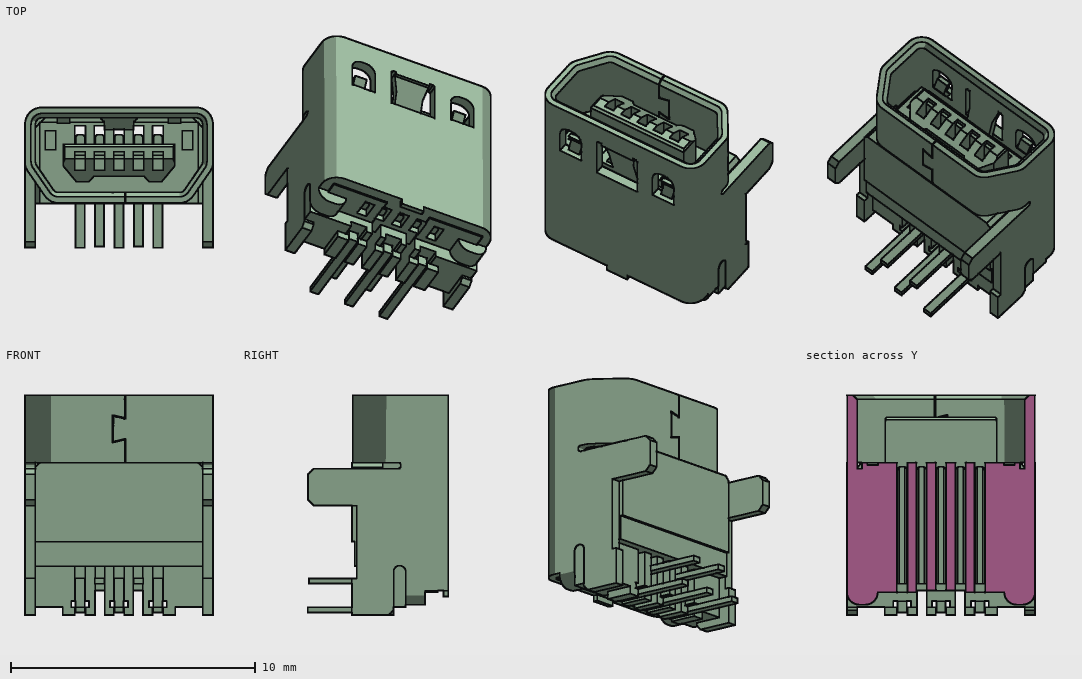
import cadquery as cq


width = 7.7
height = 9.0
back_y = 3.94
wall = 0.43
half_w = width / 2
inner_half_w = half_w - wall
inner_back_y = back_y - wall
mouth_front_y = 0.025
mouth_side_y = 1.5
mouth_front_half_w = 2.835
shell_radius = 0.7
lead_in = 0.18
mouth_bottom_z = 6.24
shell_bottom_z = 1.0

relief_height = 0.25
relief_end_y = 2.0
arm_tip_y = -1.8
arm_bottom_z = 4.48
arm_top_z = mouth_bottom_z - relief_height
arm_chamfer = 0.23
plate_front_y = 0.19
skirt_top_z = 1.5
skirt_back_y = 1.7
skirt_chamfer = 0.2
skirt_slot_width = 0.5
skirt_slot_top_z = 2.02
slot_back_y = skirt_back_y + skirt_slot_width

seam_x = 0.25
seam_gap = 0.035
dovetail_mid_z = 7.62
dovetail_neck = 0.85
dovetail_head = 1.09

latch_top_z = 7.96
latch_bottom_z = mouth_bottom_z
latch_top_half_w = 0.77
latch_half_w = 0.6
latch_shoulder_z = 7.3
latch_tip_y = 3.03
latch_thickness = 0.3
latch_window_half_w = 1.0
latch_ear_height = 0.12
latch_ear_chamfer = 0.08
spring_x = 2.27
spring_width = 0.53
spring_thickness = 0.2
spring_window_width = 1.05
spring_window_top_z = 7.94
spring_window_radius = 0.45
spring_window_bottom_z = 6.5
spring_top_z = 7.3
spring_lip = 0.4
spring_bulge_y = 3.28
back_tab_half_w = 0.5
back_tab_bottom_z = 0.75
back_tab_thickness = 0.2

clamp_front_y = slot_back_y
clamp_back_y = 2.99
clamp_bottom_z = 0.42
clamp_inner_x = 2.585
clamp_recess = 0.1

floor_z = mouth_bottom_z
rim = 0.18
rim_depth = 0.19
rim_z = arm_top_z
rim_corner = 0.4
ledge_back_y = 1.26
ledge_drop = 0.19
band_top_z = 3.0
band_bottom_z = 2.0
band_y = 0.11
base_front_y = 0.5
pad_bottom_z = 0.93
base_bottom_z = 0.32
lug_inset = 0.02
leg_back_y = skirt_back_y
leg_inner_x = 0.98
leg_outer_x = 2.31
center_leg_half_w = 0.59
window_width = 0.72
window_height = 0.25

tongue_half_w = 2.28
tongue_back_y = 2.43
tongue_side_y = 1.54
tongue_front_y = 0.9
tongue_notch_y = 1.11
tongue_foot_outer_x = 1.75
tongue_foot_inner_x = 1.23
tongue_notch_x = 1.03
tongue_top_z = 8.1
tongue_top_front_y = 1.83
tongue_slope_bottom_z = 7.65
tongue_back_chamfer = 0.1
tongue_side_chamfer = 0.07
pocket_back_y = 2.12
pocket_step_y = 1.97
pocket_front_y = 1.36
pocket_floor_z = 7.0
pocket_step_z = 7.9
pocket_front_drop = 0.1

contact_indices = range(-2, 3)
pitch = 0.795
pin_width = 0.38
pin_height = 0.22
channel_width = 0.42
channel_back_y = 3.18
contact_back_y = 2.82
contact_corner = 0.08
contact_tip_radius = 0.12
lower_pin_z = 0.1
lower_pin_tip_y = -1.81
riser_thickness = 0.39
upper_pin_z = 1.285
upper_pin_tip_y = -1.76


def block(x0, x1, y0, y1, z0, z1):
    """Box given by its limits along X, Y and Z."""
    return cq.Workplane("XY").box(x1 - x0, y1 - y0, z1 - z0, centered=False).translate((x0, y0, z0))


def mid_block(half_x, y0, y1, z0, z1):
    """Box symmetric about X = 0."""
    return block(-half_x, half_x, y0, y1, z0, z1)


def side_extrusion(points, x0, x1):
    """Prism along X from a closed outline of (y, z) points."""
    return cq.Workplane("YZ").workplane(offset=x0).polyline(points).close().extrude(x1 - x0)


def mirrored(half):
    """A feature together with its mirror image across X = 0."""
    return half.union(half.mirror("YZ"))


def mouth_prism(inset, z0, z1):
    """Rounded D-shaped prism of the mouth, shrunk by inset from the outer face."""
    outline = [
        (-half_w, back_y),
        (half_w, back_y),
        (half_w, mouth_side_y),
        (mouth_front_half_w, mouth_front_y),
        (-mouth_front_half_w, mouth_front_y),
        (-half_w, mouth_side_y),
    ]
    sketch = cq.Workplane("XY").workplane(offset=z0).polyline(outline).close()
    if inset:
        sketch = sketch.offset2D(-inset, "intersection")
    return sketch.extrude(z1 - z0).edges("|Z").fillet(shell_radius - inset)


def make_mouth():
    """Closed upper shell with a bevelled opening."""
    outer = mouth_prism(0, mouth_bottom_z, height)
    cavity = mouth_prism(wall, mouth_bottom_z, height)
    rim_wire = mouth_prism(wall - lead_in, height, height + lead_in).faces("<Z").wires().val()
    throat_wire = mouth_prism(wall, height - lead_in, height).faces("<Z").wires().val()
    lead = cq.Workplane(cq.Solid.makeLoft([throat_wire, rim_wire], True))
    return outer.cut(cavity).cut(lead)


def make_seam():
    """Narrow dovetail gap through the front wall."""
    neck = dovetail_neck / 2
    head = dovetail_head / 2
    path = [
        (seam_x, height + wall),
        (seam_x, dovetail_mid_z + neck),
        (-seam_x, dovetail_mid_z + head),
        (-seam_x, dovetail_mid_z - head),
        (seam_x, dovetail_mid_z - neck),
        (seam_x, mouth_bottom_z - wall),
    ]
    return cq.Workplane("XZ").polyline(path).offset2D(seam_gap / 2).extrude(-2 * wall)


def skirt_slot(half_x, bottom_z):
    """Round-topped prism across both side plates, filling the slots behind the skirts."""
    radius = skirt_slot_width / 2
    straight_z = skirt_slot_top_z - radius
    straight = mid_block(half_x, skirt_back_y, slot_back_y, bottom_z, straight_z)
    end = cq.Workplane("YZ").center(skirt_back_y + radius, straight_z).circle(radius)
    return straight.union(end.extrude(half_x, both=True))


def make_lower_shell():
    """Back wall and side plates with mounting arms and skirts."""
    outer = mid_block(half_w, arm_tip_y, back_y, 0, mouth_bottom_z).edges("|Z and >Y").fillet(shell_radius)
    inner = mid_block(inner_half_w, arm_tip_y, inner_back_y, 0, mouth_bottom_z)
    inner = inner.edges("|Z and >Y").fillet(shell_radius - wall)
    profile = [
        (back_y, mouth_bottom_z),
        (arm_tip_y + arm_chamfer, mouth_bottom_z),
        (arm_tip_y + arm_chamfer, arm_top_z),
        (arm_tip_y, arm_top_z - arm_chamfer),
        (arm_tip_y, arm_bottom_z + arm_chamfer),
        (arm_tip_y + arm_chamfer, arm_bottom_z),
        (plate_front_y, arm_bottom_z),
        (plate_front_y, skirt_top_z),
        (0, skirt_top_z),
        (0, 0),
        (skirt_back_y - skirt_chamfer, 0),
        (skirt_back_y, skirt_chamfer),
        (skirt_back_y, shell_bottom_z),
        (back_y, shell_bottom_z),
    ]
    shell = outer.cut(inner).intersect(side_extrusion(profile, -half_w, half_w))

    relief_radius = relief_height / 2
    relief_mid_y = relief_end_y - relief_radius
    relief = mid_block(half_w, arm_tip_y, relief_mid_y, arm_top_z, mouth_bottom_z)
    relief_end = cq.Workplane("YZ").center(relief_mid_y, arm_top_z + relief_radius).circle(relief_radius)
    relief = relief.union(relief_end.extrude(half_w, both=True))

    back_tab_front_y = back_y - back_tab_thickness
    back_tab = mid_block(back_tab_half_w, back_tab_front_y, back_y, back_tab_bottom_z, shell_bottom_z)
    return shell.cut(skirt_slot(half_w, 0)).cut(relief).union(back_tab)


def make_latch():
    """Tongue with a flared root, bent inwards and down from the top of its window."""
    front = cq.Workplane("XZ").polyline([
        (-latch_top_half_w, latch_top_z),
        (latch_top_half_w, latch_top_z),
        (latch_half_w, latch_shoulder_z),
        (latch_half_w, latch_bottom_z),
        (-latch_half_w, latch_bottom_z),
        (-latch_half_w, latch_shoulder_z),
    ]).close().extrude(-back_y)
    bend = side_extrusion([
        (inner_back_y, latch_top_z),
        (latch_tip_y, latch_bottom_z),
        (latch_tip_y + latch_thickness, latch_bottom_z),
        (inner_back_y + latch_thickness, latch_top_z),
    ], -half_w, half_w)
    return front.intersect(bend)


def make_spring():
    """Bowed strip standing in the right-hand window, fixed at its lower end."""
    profile = [
        (inner_back_y, spring_window_bottom_z),
        (spring_bulge_y, spring_top_z - spring_lip),
        (inner_back_y, spring_top_z),
        (inner_back_y + spring_thickness, spring_top_z),
        (spring_bulge_y + spring_thickness, spring_top_z - spring_lip),
        (inner_back_y + spring_thickness, spring_window_bottom_z),
    ]
    return side_extrusion(profile, spring_x - spring_width / 2, spring_x + spring_width / 2)


def make_back_windows():
    """Openings in the back wall around the latch and the two springs."""
    ear_top_z = latch_top_z + latch_ear_height
    center = mid_block(latch_window_half_w, inner_back_y, back_y, latch_bottom_z, ear_top_z)
    center = center.edges("|Y and >Z").chamfer(latch_ear_chamfer)
    center = center.cut(mid_block(latch_top_half_w, inner_back_y, back_y, latch_top_z, ear_top_z))
    side = block(
        spring_x - spring_window_width / 2, spring_x + spring_window_width / 2,
        inner_back_y, back_y, spring_window_bottom_z, spring_window_top_z,
    )
    side = side.edges("|Y and >Z").fillet(spring_window_radius)
    return center.union(mirrored(side))


def make_clamp():
    """Left side-plate strip folded under the housing and up into its floor."""
    bend_radius = pad_bottom_z - clamp_bottom_z
    strip = block(-half_w, -clamp_inner_x, clamp_front_y, clamp_back_y, clamp_bottom_z, shell_bottom_z)
    return strip.edges("|Y and <Z").fillet(bend_radius)


def make_housing():
    """Stepped plastic body with its floor, rim, side lugs and legs."""
    body = mid_block(inner_half_w, 0, inner_back_y, band_top_z, rim_z - rim_depth)
    body = body.union(mid_block(inner_half_w, band_y, inner_back_y, band_bottom_z, band_top_z))
    body = body.union(mid_block(inner_half_w, base_front_y, inner_back_y, shell_bottom_z, band_bottom_z))
    body = body.edges("|Z and >Y").fillet(shell_radius - wall)

    rim_layer = mid_block(inner_half_w, 0, inner_back_y, rim_z - rim_depth, rim_z)
    rim_layer = rim_layer.edges("|Z and >Y").chamfer(rim_corner)
    body = body.union(rim_layer)
    body = body.union(mid_block(inner_half_w - rim, 0, inner_back_y - rim, rim_z, floor_z))
    ledge = mid_block(inner_half_w, 0, ledge_back_y, rim_z - rim_depth, floor_z)
    ledge = ledge.faces(">Z").edges("|Y").chamfer(ledge_drop, rim)
    body = body.union(ledge)

    body = body.union(mid_block(inner_half_w, base_front_y, slot_back_y, base_bottom_z, band_bottom_z))
    pad = block(leg_inner_x, inner_half_w, slot_back_y, inner_back_y, pad_bottom_z, band_bottom_z)
    body = body.union(mirrored(pad))
    body = body.union(mid_block(leg_outer_x, base_front_y, leg_back_y, 0, band_bottom_z))
    body = body.union(skirt_slot(half_w - lug_inset, base_bottom_z))

    recess = block(
        clamp_inner_x, clamp_inner_x + wall, clamp_front_y, clamp_back_y,
        floor_z - clamp_recess, floor_z,
    )
    return body.cut(mirrored(recess))


def make_tongue():
    """Contact carrier standing on the housing floor, with a sloping front top."""
    half = [
        (0, tongue_back_y),
        (tongue_half_w, tongue_back_y),
        (tongue_half_w, tongue_side_y),
        (tongue_foot_outer_x, tongue_front_y),
        (tongue_foot_inner_x, tongue_front_y),
        (tongue_notch_x, tongue_notch_y),
        (0, tongue_notch_y),
    ]
    tongue = cq.Workplane("XY").workplane(offset=rim_z).polyline(half).close().extrude(tongue_top_z - rim_z)
    tongue = mirrored(tongue)
    tongue = tongue.faces(">Y").edges(">Z").chamfer(tongue_back_chamfer)
    tongue = tongue.faces(">X or <X").edges(">Z").chamfer(tongue_side_chamfer)
    slope = side_extrusion([
        (tongue_top_front_y, tongue_top_z),
        (tongue_front_y, tongue_slope_bottom_z),
        (tongue_front_y, tongue_top_z),
    ], -half_w, half_w)
    return tongue.cut(slope)


def contact_is_lower(index):
    """The outer and middle contacts leave at the lower level, the others higher up."""
    return index % 2 == 0


def make_channels(index):
    """Openings for one contact: tongue pocket, vertical channel and exit."""
    x = pitch * index
    x0 = x - channel_width / 2
    x1 = x + channel_width / 2
    cuts = block(x0, x1, pocket_front_y, pocket_step_y, pocket_floor_z, tongue_top_z)
    front_floor_z = pocket_floor_z - pocket_front_drop
    cuts = cuts.union(block(x0, x1, pocket_front_y, tongue_top_front_y, front_floor_z, tongue_top_z))
    cuts = cuts.union(block(x0, x1, pocket_step_y, pocket_back_y, pocket_step_z, tongue_top_z))
    cuts = cuts.union(block(x0, x1, tongue_back_y, channel_back_y, 0, floor_z))
    if contact_is_lower(index):
        cuts = cuts.union(block(x0, x1, 0, leg_back_y, 0, band_bottom_z))
        half_window = window_width / 2
        window_top_z = base_bottom_z + window_height
        window = block(x - half_window, x + half_window, 0, back_y, base_bottom_z, window_top_z)
        cuts = cuts.union(window)
        cuts = cuts.union(block(x0, x1, 0, back_y, 0, base_bottom_z))
    return cuts


def make_leg_gap():
    """Gap between the middle leg and the right leg."""
    front = block(center_leg_half_w, leg_inner_x, 0, leg_back_y, 0, band_bottom_z)
    return front.union(block(center_leg_half_w, leg_inner_x, 0, back_y, 0, shell_bottom_z))


def make_contact(index):
    """Vertical stem with a horizontal pin; lower contacts step forward and down first."""
    x = pitch * index
    x0 = x - pin_width / 2
    x1 = x + pin_width / 2
    pin_z = lower_pin_z if contact_is_lower(index) else upper_pin_z
    tip_y = lower_pin_tip_y if contact_is_lower(index) else upper_pin_tip_y
    pin_back_y = leg_back_y if contact_is_lower(index) else contact_back_y - contact_corner
    stem = block(x0, x1, tongue_back_y, contact_back_y, upper_pin_z, floor_z - rim)
    stem = stem.edges("|Z and >Y").chamfer(contact_corner)
    stem = stem.edges("|Y and >Z").fillet(contact_tip_radius)
    contact = stem.union(block(x0, x1, tip_y, pin_back_y, pin_z, pin_z + pin_height))
    if contact_is_lower(index):
        riser_front_y = leg_back_y - riser_thickness
        jog_top_z = upper_pin_z + pin_height
        contact = contact.union(block(x0, x1, riser_front_y, leg_back_y, pin_z, jog_top_z))
        contact = contact.union(block(x0, x1, riser_front_y, tongue_back_y, upper_pin_z, jog_top_z))
    return contact


shell = make_mouth().cut(make_seam()).union(make_lower_shell())
shell = shell.cut(make_back_windows()).union(make_latch()).union(mirrored(make_spring()))
housing = make_housing().union(make_tongue()).cut(mirrored(make_leg_gap()))
for index in contact_indices:
    housing = housing.cut(make_channels(index))
result = shell.union(housing).union(mirrored(make_clamp()))
for index in contact_indices:
    result = result.union(make_contact(index))